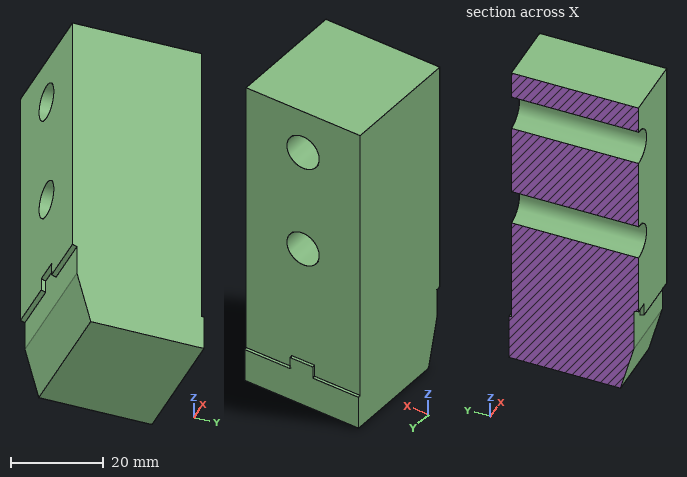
import cadquery as cq
import math

total_height = 78.5
width = 30.0

shank_depth = width

tip_setback = 1.0
tip_overhang = 0.55
tip_back = shank_depth + tip_overhang

joint_angle = math.radians(20)
joint_front_height = 19.5

bevel_height = 12.0
bevel_angle = math.radians(15)
bevel_run = bevel_height * math.tan(bevel_angle)

tongue_width = 6.0
tongue_rise = 3.0

hole_diameter = 8.5
top_hole_drop = 11.0
hole_spacing = 26.0
hole_count = 2


def joint_height(y):
    """Height of the inclined joint at depth y."""
    return joint_front_height - y * math.tan(joint_angle)


def side_profile(points, thickness):
    """Extrude a (Y, Z) outline symmetrically about the X = 0 plane."""
    return cq.Workplane("YZ").polyline(points).close().extrude(thickness / 2, both=True)


def inclined_strip(front, back, rise, thickness):
    """Bar of the given vertical rise lying on the joint."""
    return side_profile(
        [
            (front, joint_height(front)),
            (back, joint_height(back)),
            (back, joint_height(back) + rise),
            (front, joint_height(front) + rise),
        ],
        thickness,
    )


def make_shank():
    block = side_profile(
        [
            (0, joint_height(0)),
            (shank_depth, joint_height(shank_depth)),
            (shank_depth, total_height),
            (0, total_height),
        ],
        width,
    )
    groove = inclined_strip(0, shank_depth, tongue_rise, tongue_width)
    return block.cut(groove)


def make_tip():
    body = side_profile(
        [
            (tip_setback + bevel_run, 0),
            (tip_back, 0),
            (tip_back, joint_height(tip_back)),
            (tip_setback, joint_height(tip_setback)),
            (tip_setback, bevel_height),
        ],
        width,
    )
    tongue = inclined_strip(tip_setback, tip_back, tongue_rise, tongue_width)
    return body.union(tongue)


def make_holes():
    centers = [(0, total_height - top_hole_drop - i * hole_spacing) for i in range(hole_count)]
    return cq.Workplane("XZ").pushPoints(centers).circle(hole_diameter / 2).extrude(-shank_depth)


result = make_shank().union(make_tip()).cut(make_holes())